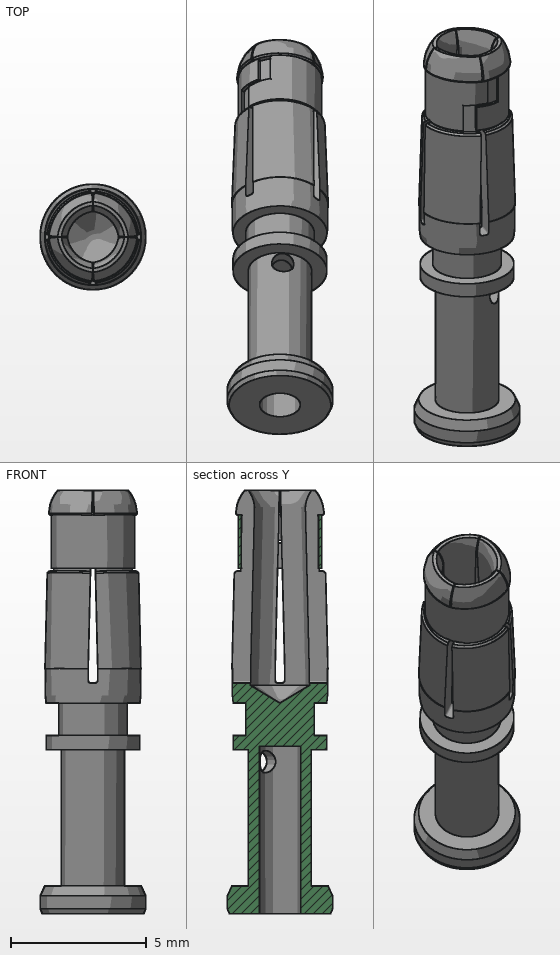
import cadquery as cq
import math

TOTAL_HEIGHT = 15.6

FOOT_RADIUS = 1.95
FOOT_BOTTOM_RADIUS = 1.87
FOOT_TOP_RADIUS = 1.78
FOOT_LOWER_EDGE = 0.19
FOOT_UPPER_EDGE = 0.65
FOOT_TOP = 1.03

BARREL_RADIUS = 1.17
FLANGE_BOTTOM = 6.04
FLANGE_TOP = 6.57
FLANGE_RADIUS = 1.73
NECK_RADIUS = 1.26

ROOT_BOTTOM = 7.75
ROOT_BOTTOM_RADIUS = 1.73
ROOT_LOWER_EDGE = 8.03
ROOT_RADIUS = 1.76
ROOT_TOP = 9.03

BORE_RADIUS = 1.09
BORE_FLOOR = 8.42
DRILL_HALF_ANGLE = 59.0

TINE_COUNT = 4
QUARTER_TURN = 360 / TINE_COUNT
SLOT_FLOOR = 8.5
SLOT_WIDTH = 0.35
SLOT_TIP_WIDTH = 0.03
SLOT_CORNER_RADIUS = 0.1

TINE_RADIUS = 1.78
SHOULDER_HEIGHT = 12.64
SHOULDER_CHAMFER = 0.08
RECESS_RADIUS = 1.55
TIP_BOTTOM = 14.7
TIP_LOWER_CHAMFER = 0.06
TIP_CONE_START = 15.09
TIP_CONE_RADIUS = 1.73
TIP_BULGE = 0.03
RIM_RADIUS = 1.47
MOUTH_RADIUS = 1.33
MOUTH_DEPTH = 0.61
MOUTH_BULGE = 0.05

TINE_LENGTH = TOTAL_HEIGHT - ROOT_TOP
BEND = math.atan((SLOT_WIDTH - SLOT_TIP_WIDTH) / math.sqrt(2) / TINE_LENGTH)
STRAIGHT_TOP = ROOT_TOP + (TINE_LENGTH + (TINE_RADIUS - RIM_RADIUS) * math.sin(BEND)) / math.cos(BEND)

SLEEVE_BOTTOM = 12.71
SLEEVE_RADIUS = 1.55
SLEEVE_INNER_RADIUS = 1.42
SPLIT_INNER = 0.22
SPLIT_OUTER = 0.69
SPLIT_STEP_GAP = 0.1

WIRE_BORE_RADIUS = 0.75
WIRE_BORE_DEPTH = 6.16
INSPECTION_RADIUS = 0.4
INSPECTION_HEIGHT = 5.6
INSPECTION_ANGLE = 135.0


def bulged_midpoint(start, end, bulge):
    """Midpoint of a chord, pushed to its left by the bulge."""
    dx = end[0] - start[0]
    dy = end[1] - start[1]
    length = math.hypot(dx, dy)
    return (
        (start[0] + end[0]) / 2 - bulge * dy / length,
        (start[1] + end[1]) / 2 + bulge * dx / length,
    )


def turned_base():
    """Foot, barrel, neck and socket root with both blind bores, revolved about Z."""
    cone_depth = BORE_RADIUS / math.tan(math.radians(DRILL_HALF_ANGLE))
    return (
        cq.Workplane("XZ")
        .moveTo(WIRE_BORE_RADIUS, 0)
        .lineTo(FOOT_BOTTOM_RADIUS, 0)
        .lineTo(FOOT_RADIUS, FOOT_LOWER_EDGE)
        .lineTo(FOOT_RADIUS, FOOT_UPPER_EDGE)
        .lineTo(FOOT_TOP_RADIUS, FOOT_TOP)
        .lineTo(BARREL_RADIUS, FOOT_TOP)
        .lineTo(BARREL_RADIUS, FLANGE_BOTTOM)
        .lineTo(FLANGE_RADIUS, FLANGE_BOTTOM)
        .lineTo(FLANGE_RADIUS, FLANGE_TOP)
        .lineTo(NECK_RADIUS, FLANGE_TOP)
        .lineTo(NECK_RADIUS, ROOT_BOTTOM)
        .lineTo(ROOT_BOTTOM_RADIUS, ROOT_BOTTOM)
        .lineTo(ROOT_RADIUS, ROOT_LOWER_EDGE)
        .lineTo(ROOT_RADIUS, ROOT_TOP)
        .lineTo(BORE_RADIUS, ROOT_TOP)
        .lineTo(BORE_RADIUS, BORE_FLOOR)
        .lineTo(0, BORE_FLOOR - cone_depth)
        .lineTo(0, WIRE_BORE_DEPTH)
        .lineTo(WIRE_BORE_RADIUS, WIRE_BORE_DEPTH)
        .close()
        .revolve(360, (0, 0, 0), (0, 1, 0))
    )


def root_slot():
    """Lower end of a slot, cut across the socket root along Y, with rounded floor corners."""
    return (
        cq.Workplane("XY")
        .workplane(offset=SLOT_FLOOR)
        .rect(SLOT_WIDTH, 2 * FOOT_RADIUS)
        .extrude(ROOT_TOP - SLOT_FLOOR)
        .faces("<Z")
        .edges("|Y")
        .fillet(SLOT_CORNER_RADIUS)
    )


def straight_tines():
    """Tube above the root as turned, before it is slotted into tines."""
    cone_start = (TIP_CONE_RADIUS, TIP_CONE_START)
    rim = (RIM_RADIUS, STRAIGHT_TOP)
    mouth = (MOUTH_RADIUS, STRAIGHT_TOP)
    mouth_end = (BORE_RADIUS, STRAIGHT_TOP - MOUTH_DEPTH)
    return (
        cq.Workplane("XZ")
        .moveTo(BORE_RADIUS, ROOT_TOP)
        .lineTo(TINE_RADIUS, ROOT_TOP)
        .lineTo(TINE_RADIUS, SHOULDER_HEIGHT - SHOULDER_CHAMFER)
        .lineTo(TINE_RADIUS - SHOULDER_CHAMFER, SHOULDER_HEIGHT)
        .lineTo(RECESS_RADIUS, SHOULDER_HEIGHT)
        .lineTo(RECESS_RADIUS, TIP_BOTTOM)
        .lineTo(TINE_RADIUS - TIP_LOWER_CHAMFER, TIP_BOTTOM)
        .lineTo(TINE_RADIUS, TIP_BOTTOM + TIP_LOWER_CHAMFER)
        .lineTo(*cone_start)
        .threePointArc(bulged_midpoint(cone_start, rim, -TIP_BULGE), rim)
        .lineTo(*mouth)
        .threePointArc(bulged_midpoint(mouth, mouth_end, -MOUTH_BULGE), mouth_end)
        .close()
        .revolve(360, (0, 0, 0), (0, 1, 0))
    )


def bent_tine():
    """One quarter of the tube, centred on +X and bent towards the axis."""
    quarter = (
        cq.Workplane("XY")
        .box(FOOT_RADIUS, FOOT_RADIUS, STRAIGHT_TOP, centered=False)
        .translate((SLOT_WIDTH / 2, SLOT_WIDTH / 2, 0))
        .rotate((0, 0, 0), (0, 0, 1), -QUARTER_TURN / 2)
    )
    hinge_start = (TINE_RADIUS, 0, ROOT_TOP)
    hinge_end = (TINE_RADIUS, 1, ROOT_TOP)
    return straight_tines().intersect(quarter).rotate(hinge_start, hinge_end, -math.degrees(BEND))


def split_sleeve():
    """Ring around the tines, parted on its +Y side by a Z-shaped gap."""
    split_width = SPLIT_OUTER - SPLIT_INNER
    step_middle = (SLEEVE_BOTTOM + TIP_BOTTOM) / 2
    step_bottom = step_middle - SPLIT_STEP_GAP / 2
    step_top = step_middle + SPLIT_STEP_GAP / 2

    def gap(left, width, bottom, top):
        block = cq.Workplane("XY").box(width, SLEEVE_RADIUS, top - bottom, centered=False)
        return block.translate((left, 0, bottom))

    ring = (
        cq.Workplane("XY")
        .workplane(offset=SLEEVE_BOTTOM)
        .circle(SLEEVE_RADIUS)
        .circle(SLEEVE_INNER_RADIUS)
        .extrude(TIP_BOTTOM - SLEEVE_BOTTOM)
    )
    return (
        ring.cut(gap(-SPLIT_OUTER, split_width, step_bottom, TIP_BOTTOM))
        .cut(gap(-SPLIT_OUTER, 2 * SPLIT_OUTER, step_bottom, step_top))
        .cut(gap(SPLIT_INNER, split_width, SLEEVE_BOTTOM, step_top))
    )


def inspection_hole():
    """Radial hole through one wall of the barrel into the wire bore."""
    angle = math.radians(INSPECTION_ANGLE)
    return cq.Workplane(
        cq.Solid.makeCylinder(
            INSPECTION_RADIUS,
            FOOT_RADIUS,
            cq.Vector(0, 0, INSPECTION_HEIGHT),
            cq.Vector(math.cos(angle), math.sin(angle), 0),
        )
    )


result = turned_base()
for slot_angle in (0, QUARTER_TURN):
    result = result.cut(root_slot().rotate((0, 0, 0), (0, 0, 1), slot_angle))
for tine in range(TINE_COUNT):
    tine_angle = (tine + 0.5) * QUARTER_TURN
    result = result.union(bent_tine().rotate((0, 0, 0), (0, 0, 1), tine_angle))
result = result.union(split_sleeve()).cut(inspection_hole())